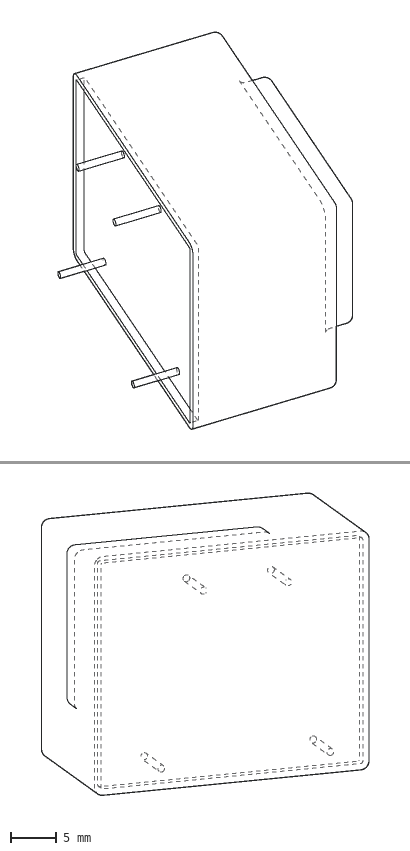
import cadquery as cq


housing_width = 32.5
housing_height = 27.5
housing_depth = 17.8
edge_radius = 1.0

pad_width = 23.5
pad_height = 18.5
pad_thickness = 4.0

rim_width = 0.75
recess_depth = 1.0
recess_corner_radius = edge_radius - rim_width

pin_diameter = 0.8
pin_protrusion = 4.5
pin_row_z = 10.0
upper_pin_x = 5.0
lower_pin_x = 10.0
pin_places = [
    (-upper_pin_x, pin_row_z),
    (upper_pin_x, pin_row_z),
    (-lower_pin_x, -pin_row_z),
    (lower_pin_x, -pin_row_z),
]


def rounded_block(width, height, depth, corner_radius, front_y):
    """Block centred in X and Z, reaching from front_y toward +Y, with rounded corners along Y."""
    block = cq.Workplane("XY").box(width, depth, height, centered=(True, False, True))
    return block.edges("|Y").fillet(corner_radius).translate((0, front_y, 0))


def make_housing():
    block = rounded_block(housing_width, housing_height, housing_depth, edge_radius, 0)
    block = block.faces(">Y").edges().fillet(edge_radius)

    pad = rounded_block(pad_width, pad_height, pad_thickness, edge_radius, housing_depth)
    pad = pad.faces(">Y").edges().fillet(edge_radius)
    body = block.union(pad)

    foot_limit_x = (pad_width + edge_radius) / 2
    foot_limit_z = (pad_height + edge_radius) / 2
    foot_limit_y = edge_radius / 2
    pad_foot = cq.selectors.BoxSelector(
        (-foot_limit_x, housing_depth - foot_limit_y, -foot_limit_z),
        (foot_limit_x, housing_depth + foot_limit_y, foot_limit_z),
    )
    body = body.edges(pad_foot).fillet(edge_radius)

    recess = rounded_block(
        housing_width - 2 * rim_width,
        housing_height - 2 * rim_width,
        recess_depth,
        recess_corner_radius,
        0,
    )
    return body.cut(recess)


def make_pin(x, z):
    """Round pin standing on the recess floor and pointing toward -Y."""
    floor = cq.Workplane("XZ", origin=(x, recess_depth, z))
    return floor.circle(pin_diameter / 2).extrude(recess_depth + pin_protrusion)


housing = make_housing()
pins = [make_pin(x, z) for x, z in pin_places]

result = cq.Compound.makeCompound([housing.val(), *[pin.val() for pin in pins]])